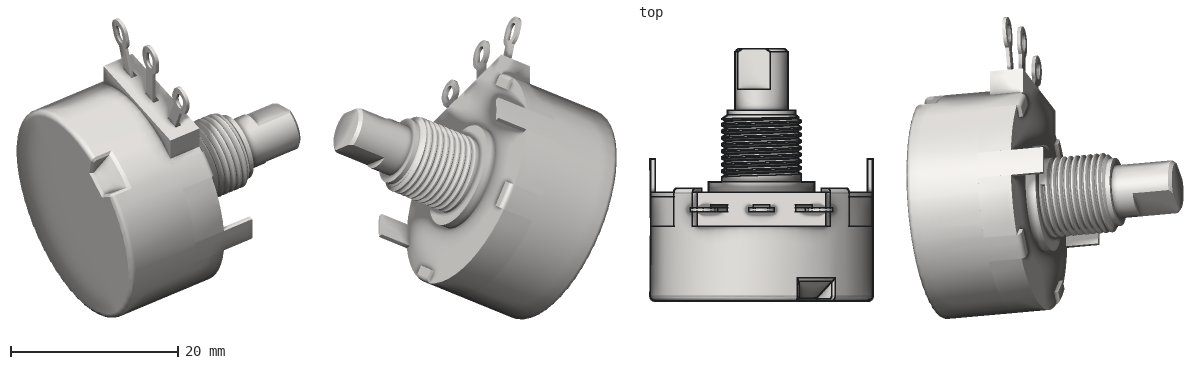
import cadquery as cq
import math


body_radius = 13.335
base_depth = 4.06
can_depth = 8.97
can_back = -base_depth - can_depth
can_edge_radius = 0.65
sheet_thickness = 0.58

finger_width = 3.175
strap_reach = 3.97
fold_height = 0.48
fold_length = 1.67
fold_radius = 0.58
strap_angles = (0, 180)
tab_angles = (45, 135, 225, 315)

dent_clock_angle = 30
dent_floor_u = 10.7
dent_floor_half_width = 1.46
dent_flare_angle = 20
dent_lip_depth = 0.33
dent_depth = 2.54
dent_mouth_chamfer = 0.28
dent_clearance = 1
touching_distance = 1e-4

terminal_block_width = 15.3
terminal_block_top = 13.9
plate_thickness = 0.56
plate_height = 16.7

terminal_thickness = 0.43
terminal_back = -2.32
terminal_width = 1.46
eye_radius = 1.52
eye_hole_radius = 0.73
eye_straight = 0.79
middle_eye_distance = 6.16
side_eye_distance = 5.26
side_terminal_x = 5.06
side_terminal_tilt = 20
terminal_slot_width = 1.95
terminal_slot_depth = 0.8
terminal_seat = 5.5

terminal_places = (
    (-side_terminal_x, -side_terminal_tilt, side_eye_distance),
    (0, 0, middle_eye_distance),
    (side_terminal_x, side_terminal_tilt, side_eye_distance),
)

flange_radius = 6.35
flange_thickness = 1.22
bushing_end = 9.79
lead_in_radius = 4.08
lead_in_length = 0.57
thread_chamfer = 0.5
thread_radius = 4.7625
thread_pitch = 25.4 / 32
thread_root_radius = 4.3
thread_start = 1.7
thread_turns = 10
thread_land = 0.08
groove_clearance = 0.1
thread_bar_end = thread_start + (thread_turns + 1) * thread_pitch

shaft_radius = 3.175
shaft_end = 17.12
shaft_chamfer = 0.38
flat_start = 12.3
flat_distance = 2.38
flat_tilt = 22


def cylinder_y(radius, y_low, y_high):
    """A cylinder on the Y axis between two Y levels."""
    return cq.Workplane("XZ", origin=(0, y_high, 0)).circle(radius).extrude(y_high - y_low)


def box_between(x, y, z):
    """A box from its X, Y and Z ranges."""
    size = (x[1] - x[0], y[1] - y[0], z[1] - z[0])
    return cq.Workplane("XY").box(*size, centered=False).translate((x[0], y[0], z[0]))


def turned(shape, angle):
    """Turn a shape about the Y axis, from +X toward +Z."""
    return shape.rotate((0, 0, 0), (0, 1, 0), -angle)


def tube_y(outer_radius, inner_radius, y_low, y_high):
    """A tube on the Y axis between two Y levels."""
    return cylinder_y(outer_radius, y_low, y_high).cut(cylinder_y(inner_radius, y_low, y_high))


def finger_path(reach, y_high):
    """A block on the +X side as wide as a finger, going inward from the rim by its reach."""
    return box_between(
        (body_radius - reach, body_radius),
        (-base_depth, y_high),
        (-finger_width / 2, finger_width / 2),
    )


def wall_strip(y_high):
    """A strip of the can wall on the +X side, from the can up to a Y level."""
    wall = tube_y(body_radius, body_radius - sheet_thickness, -base_depth, y_high)
    return wall.intersect(finger_path(body_radius, y_high))


def crimp_ring():
    """A ring with the section of a crimp tab: the can wall folded inward over the front face."""
    ring = cylinder_y(body_radius, -base_depth, fold_height)
    ring = ring.faces(">Y").edges().fillet(fold_radius)
    return ring.cut(cylinder_y(body_radius - sheet_thickness, -base_depth, 0))


def can_fingers():
    """All fingers of the can: two straight straps and four crimp tabs."""
    tab_path = finger_path(fold_length, fold_height)
    fingers = [turned(wall_strip(strap_reach), angle) for angle in strap_angles]
    fingers += [crimp_ring().intersect(turned(tab_path, angle)) for angle in tab_angles]
    return fingers


def notched(body):
    """Cut the notches for the fingers into the side of a body."""
    for angle in strap_angles + tab_angles:
        body = body.cut(turned(wall_strip(0), angle))
    return body


def dent_cutter():
    """The void of the dent at the top of the rim: a conical ramp between two flared sides."""
    outside = body_radius + dent_clearance
    ramp_slope = (dent_depth - dent_lip_depth) / (body_radius - dent_floor_u)
    outside_depth = dent_lip_depth + ramp_slope * (outside - dent_floor_u)
    ramp = (
        cq.Workplane("XY")
        .moveTo(dent_floor_u, can_back)
        .lineTo(dent_floor_u, can_back + dent_lip_depth)
        .lineTo(outside, can_back + outside_depth)
        .lineTo(outside, can_back)
        .close()
        .revolve(360, (0, 0, 0), (0, 1, 0))
    )
    flare = math.tan(math.radians(dent_flare_angle))
    outside_half_width = dent_floor_half_width + (outside - dent_floor_u) * flare
    sides = (
        cq.Workplane("XZ")
        .moveTo(-dent_floor_half_width, dent_floor_u)
        .lineTo(dent_floor_half_width, dent_floor_u)
        .lineTo(outside_half_width, outside)
        .lineTo(-outside_half_width, outside)
        .close()
        .extrude(-2 * can_back, both=True)
    )
    return ramp.intersect(sides)


def lies_on(edge, surface):
    """Whether the middle of an edge lies on a surface."""
    middle = cq.Vertex.makeVertex(*edge.positionAt(0.5).toTuple())
    return surface.distance(middle) < touching_distance


def make_can():
    """The cover behind the base, with its dent and its fingers."""
    can = cylinder_y(body_radius, can_back, -base_depth)
    can = can.faces("<Y").edges().fillet(can_edge_radius)
    skin = can.val().Shells()[0]
    dent = dent_cutter()
    dent_faces = dent.val().Shells()[0]
    can = can.cut(dent)
    mouth = [e for e in can.edges().vals() if lies_on(e, skin) and lies_on(e, dent_faces)]
    can = can.newObject(mouth).chamfer(dent_mouth_chamfer)
    can = turned(can, -dent_clock_angle)
    for piece in can_fingers():
        can = can.union(piece)
    return can


def lug(eye_distance, bottom):
    """A terminal pointing up +Z from Z = 0, with its stem reaching down to a lower Z."""
    front = terminal_back + terminal_thickness

    def eye_shape(radius):
        eye_plane = cq.Workplane("XZ", origin=(0, front, eye_distance))
        return eye_plane.slot2D(eye_straight + 2 * radius, 2 * radius, 90).extrude(terminal_thickness)

    stem = box_between(
        (-terminal_width / 2, terminal_width / 2),
        (terminal_back, front),
        (bottom, eye_distance),
    )
    return stem.union(eye_shape(eye_radius)).cut(eye_shape(eye_hole_radius))


def placed_at_block(shape, x, tilt):
    """Lean a shape toward +X by the tilt and stand it on top of the terminal block."""
    return turned(shape, -tilt).translate((x, 0, terminal_block_top))


def below_block_top():
    """The space under the top of the terminal block and above the seat of the terminals."""
    seat = terminal_block_top - terminal_seat
    return box_between((-body_radius, body_radius), (-base_depth, 0), (seat, terminal_block_top))


def terminal_slot(x, tilt):
    """The slot in the block that a terminal stands in, wider and thicker than the terminal."""
    width = terminal_slot_width * math.cos(math.radians(tilt))
    slot = box_between(
        (-width / 2, width / 2),
        (terminal_back, terminal_back + terminal_slot_depth),
        (-2 * terminal_seat, terminal_seat),
    )
    return placed_at_block(slot, x, tilt).intersect(below_block_top())


def make_terminal(x, tilt, eye_distance):
    """A solder lug cut off level at its seat inside the block."""
    terminal = placed_at_block(lug(eye_distance, -2 * terminal_seat), x, tilt)
    seat = terminal_block_top - terminal_seat
    above_seat = box_between(
        (-body_radius, body_radius),
        (-base_depth, 0),
        (seat, 2 * body_radius),
    )
    return terminal.intersect(above_seat)


def plate_blank():
    """The mounting plate before it is notched and bored: a disc cut flat at top and bottom."""
    disc = cylinder_y(body_radius, -plate_thickness, 0)
    band = box_between(
        (-body_radius, body_radius),
        (-plate_thickness, 0),
        (-plate_height / 2, plate_height / 2),
    )
    return disc.intersect(band)


def make_plate():
    """The plate, notched for the fingers and bored for the shaft."""
    return notched(plate_blank()).cut(cylinder_y(shaft_radius, -plate_thickness, 0))


def make_base():
    """The round base with the terminal block, recessed for the plate, fingers and terminals."""
    base = cylinder_y(body_radius, -base_depth, 0)
    block = box_between(
        (-terminal_block_width / 2, terminal_block_width / 2),
        (-base_depth, 0),
        (0, terminal_block_top),
    )
    base = notched(base.union(block)).cut(plate_blank())
    for x, tilt, _ in terminal_places:
        base = base.cut(terminal_slot(x, tilt))
    return base


def thread_groove():
    """The V groove of the right-hand thread, wound along +Y."""
    outside = thread_radius + groove_clearance
    half_mouth = thread_pitch / 2 - thread_land / 2
    helix = cq.Wire.makeHelix(thread_pitch, thread_turns * thread_pitch, thread_radius)
    groove = (
        cq.Workplane("XZ")
        .moveTo(thread_root_radius, -thread_land / 2)
        .lineTo(thread_root_radius, thread_land / 2)
        .lineTo(outside, half_mouth)
        .lineTo(outside, -half_mouth)
        .close()
        .sweep(cq.Workplane(obj=helix), isFrenet=True)
    )
    return groove.rotate((0, 0, 0), (1, 0, 0), -90).translate((0, thread_start, 0))


def bushing_tip_waste():
    """What is turned off the threaded end to leave the plain lead-in and its cone."""
    lead_in_start = bushing_end - lead_in_length
    cone_start = lead_in_start - thread_chamfer
    clear_radius = 2 * thread_radius - lead_in_radius
    clear_start = cone_start - thread_chamfer
    return (
        cq.Workplane("XY")
        .moveTo(lead_in_radius, lead_in_start)
        .lineTo(clear_radius, clear_start)
        .lineTo(clear_radius, thread_bar_end)
        .lineTo(0, thread_bar_end)
        .lineTo(0, bushing_end)
        .lineTo(lead_in_radius, bushing_end)
        .close()
        .revolve(360, (0, 0, 0), (0, 1, 0))
    )


def make_bushing():
    """The flanged bushing, threaded up to its plain lead-in and bored for the shaft."""
    bushing = cylinder_y(thread_radius, 0, thread_bar_end)
    bushing = bushing.cut(cylinder_y(shaft_radius, 0, thread_bar_end))
    bushing = bushing.cut(thread_groove()).cut(bushing_tip_waste())
    flange = cylinder_y(flange_radius, 0, flange_thickness)
    flange = flange.cut(cylinder_y(shaft_radius, 0, flange_thickness))
    return bushing.union(flange)


def make_shaft():
    """The shaft, with two opposite flats at its end."""
    shaft = cylinder_y(shaft_radius, -plate_thickness, shaft_end)
    shaft = shaft.faces(">Y").chamfer(shaft_chamfer)
    for side in (90, 270):
        waste = box_between(
            (flat_distance, shaft_radius),
            (flat_start, shaft_end),
            (-shaft_radius, shaft_radius),
        )
        shaft = shaft.cut(turned(waste, side + flat_tilt))
    return shaft


can = make_can()
base = make_base()
plate = make_plate()
bushing = make_bushing()
shaft = make_shaft()
terminals = [make_terminal(*place) for place in terminal_places]

result = cq.Compound.makeCompound(
    [
        can.val(),
        base.val(),
        plate.val(),
        bushing.val(),
        shaft.val(),
        *[terminal.val() for terminal in terminals],
    ]
)